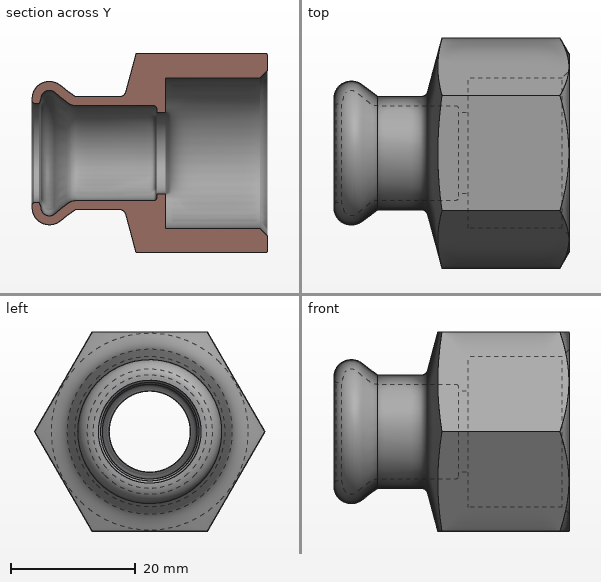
import cadquery as cq
import math


total_length = 37.8
across_flats = 32.0
corner_radius = across_flats / math.sqrt(3)

tube_outer_radius = 18.2 / 2
tube_inner_radius = 15.2 / 2
wall = tube_outer_radius - tube_inner_radius

bead_radius = 2.8
bead_center_radius = 8.75
seal_groove_radius = bead_radius - wall
bead_cone_angle = math.radians(39)
bead_cone_end = 7.0
inner_blend_radius = 2.0

mouth_radius = 15.8 / 2
mouth_chamfer = 0.35
mouth_lip_thickness = 1.2

shoulder_angle = math.radians(15)
shoulder_corner_x = 17.33
shoulder_fillet = 1.0
outline_margin = 1.0

end_chamfer_angle = math.radians(30)
end_face_radius = 15.8

stop_depth = 20.0
stop_fillet = 0.5
passage_radius = 13.0 / 2
thread_bore_radius = 24.12 / 2
thread_mouth_radius = 26.5 / 2
thread_bore_start = stop_depth + wall
thread_chamfer = thread_mouth_radius - thread_bore_radius


def bead_point(radius, angle):
    """Point (x, r) on a circle about the bead centre, with the angle taken from the +X direction."""
    return (bead_radius + radius * math.cos(angle), bead_center_radius + radius * math.sin(angle))


def revolve_about_x(profile):
    return profile.close().revolve(360, (0, 0, 0), (1, 0, 0))


def outer_blank():
    """Turned outside shape, before the hexagon flats are cut."""
    cone_start_angle = math.pi / 2 - bead_cone_angle
    bead_mid_angle = (cone_start_angle + math.pi) / 2

    fillet_center_r = tube_outer_radius + shoulder_fillet
    fillet_end_r = fillet_center_r - shoulder_fillet * math.sin(shoulder_angle)
    fillet_end_x = shoulder_corner_x - (corner_radius - fillet_end_r) * math.tan(shoulder_angle)
    fillet_center_x = fillet_end_x - shoulder_fillet * math.cos(shoulder_angle)
    fillet_mid_angle = (shoulder_angle + math.pi / 2) / 2
    fillet_mid = (
        fillet_center_x + shoulder_fillet * math.cos(fillet_mid_angle),
        fillet_center_r - shoulder_fillet * math.sin(fillet_mid_angle),
    )

    blank_radius = corner_radius + outline_margin
    shoulder_end_x = shoulder_corner_x + outline_margin * math.tan(shoulder_angle)
    end_chamfer_x = total_length - (blank_radius - end_face_radius) * math.tan(end_chamfer_angle)

    profile = (
        cq.Workplane("XY")
        .moveTo(0, 0)
        .lineTo(0, bead_center_radius)
        .threePointArc(bead_point(bead_radius, bead_mid_angle), bead_point(bead_radius, cone_start_angle))
        .lineTo(bead_cone_end, tube_outer_radius)
        .lineTo(fillet_center_x, tube_outer_radius)
        .threePointArc(fillet_mid, (fillet_end_x, fillet_end_r))
        .lineTo(shoulder_end_x, blank_radius)
        .lineTo(end_chamfer_x, blank_radius)
        .lineTo(total_length, end_face_radius)
        .lineTo(total_length, 0)
    )
    return revolve_about_x(profile)


def hexagon_prism():
    """Hexagonal bar along X with flats on the +Z and -Z sides and corners on +Y and -Y."""
    return cq.Workplane("YZ").polygon(6, 2 * corner_radius).extrude(total_length)


def inner_passage():
    """Press socket with seal groove, tube stop, narrow passage and thread bore as one void."""
    cone_start_angle = math.pi / 2 - bead_cone_angle
    groove_mid_angle = (cone_start_angle + math.pi) / 2
    cone_start = bead_point(seal_groove_radius, cone_start_angle)

    blend_center_r = tube_inner_radius + inner_blend_radius
    blend_start_r = blend_center_r - inner_blend_radius * math.cos(bead_cone_angle)
    blend_start_x = cone_start[0] + (cone_start[1] - blend_start_r) / math.tan(bead_cone_angle)
    blend_end_x = blend_start_x + inner_blend_radius * math.sin(bead_cone_angle)
    blend_mid = (
        blend_end_x - inner_blend_radius * math.sin(bead_cone_angle / 2),
        blend_center_r - inner_blend_radius * math.cos(bead_cone_angle / 2),
    )

    stop_fillet_mid = (
        stop_depth - stop_fillet * (1 - math.sqrt(0.5)),
        tube_inner_radius - stop_fillet * (1 - math.sqrt(0.5)),
    )

    profile = (
        cq.Workplane("XY")
        .moveTo(0, 0)
        .lineTo(0, mouth_radius + mouth_chamfer)
        .lineTo(mouth_chamfer, mouth_radius)
        .lineTo(mouth_lip_thickness, mouth_radius)
        .lineTo(*bead_point(seal_groove_radius, math.pi))
        .threePointArc(bead_point(seal_groove_radius, groove_mid_angle), cone_start)
        .lineTo(blend_start_x, blend_start_r)
        .threePointArc(blend_mid, (blend_end_x, tube_inner_radius))
        .lineTo(stop_depth - stop_fillet, tube_inner_radius)
        .threePointArc(stop_fillet_mid, (stop_depth, tube_inner_radius - stop_fillet))
        .lineTo(stop_depth, passage_radius)
        .lineTo(thread_bore_start, passage_radius)
        .lineTo(thread_bore_start, thread_bore_radius)
        .lineTo(total_length - thread_chamfer, thread_bore_radius)
        .lineTo(total_length, thread_mouth_radius)
        .lineTo(total_length, 0)
    )
    return revolve_about_x(profile)


result = outer_blank().intersect(hexagon_prism()).cut(inner_passage())